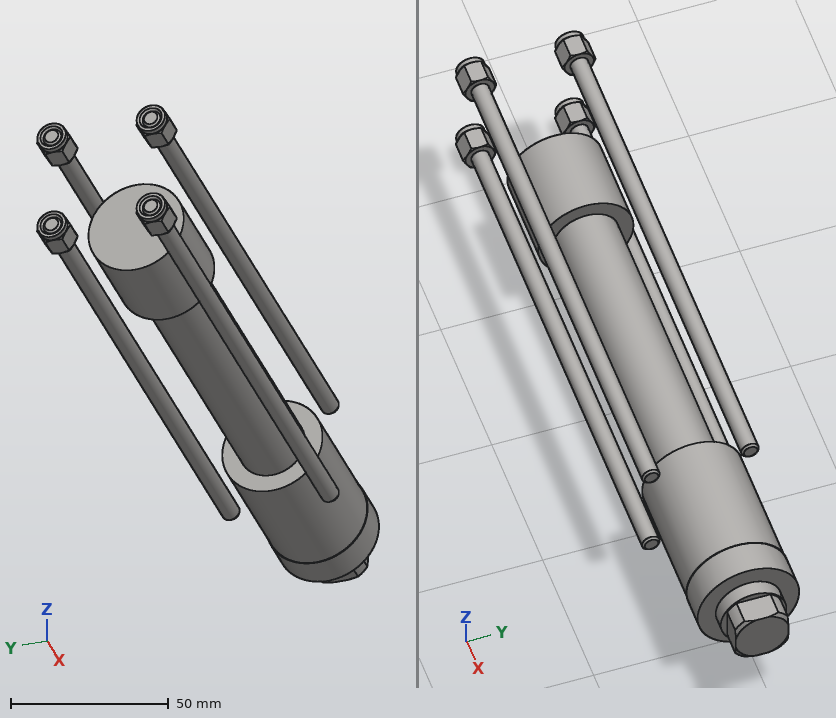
import cadquery as cq
import math

OVERALL_LENGTH = 238.0

TIE_ROD_COUNT = 4
TIE_ROD_FIRST_ANGLE = 45.0
TIE_ROD_CIRCLE_DIAMETER = 47.0
TIE_ROD_DIAMETER = 6.0
TIE_ROD_LENGTH = 178.0
TIE_ROD_CHAMFER = 0.7

NUT_LENGTH = 9.8
NUT_ACROSS_FLATS = 9.8
NUT_ACROSS_CORNERS = NUT_ACROSS_FLATS / math.cos(math.radians(30))
NUT_COLLAR_LENGTH = 2.0
NUT_COLLAR_DIAMETER = 9.5
NUT_COUNTERSINK = 0.7

PISTON_START = 34.5
PISTON_END = 65.0
PISTON_DIAMETER = 32.0
ROD_DIAMETER = 22.0
ROD_SHOULDER = 229.5
TIP_DIAMETER = 21.0
TIP_ACROSS_FLATS = 17.5
TIP_FACE_DIAMETER = 18.0

GLAND_START = 169.2
GLAND_CAP_START = 213.2
GLAND_END = 224.5
GLAND_DIAMETER = 33.5
GLAND_CAP_DIAMETER = 34.0

CORNER_CHAMFER_ANGLE = 30.0


def cylinder_between(start, end, diameter):
    """Solid cylinder on the X axis."""
    return cq.Workplane("YZ", origin=(start, 0, 0)).circle(diameter / 2).extrude(end - start)


def chamfered_blank(start, end, diameter, face_diameter, end_faces):
    """Cylinder on the X axis with a shallow cone that narrows the chosen ends to face_diameter."""
    inward = (diameter - face_diameter) / 2
    along = inward * math.tan(math.radians(CORNER_CHAMFER_ANGLE))
    blank = cylinder_between(start, end, diameter)
    for face in end_faces:
        plane_x = start if face == "<X" else end
        step = along if face == "<X" else -along
        corner_ring = (
            cq.Workplane("XY")
            .moveTo(plane_x, face_diameter / 2)
            .lineTo(plane_x, diameter / 2)
            .lineTo(plane_x + step, diameter / 2)
            .close()
            .revolve(360, (0, 0, 0), (1, 0, 0))
        )
        blank = blank.cut(corner_ring)
    return blank


def make_piston_rod():
    """Piston head, rod and squared tip in one piece."""
    head = cylinder_between(PISTON_START, PISTON_END, PISTON_DIAMETER)
    shaft = cylinder_between(PISTON_END, ROD_SHOULDER, ROD_DIAMETER)
    square = (
        cq.Workplane("YZ", origin=(ROD_SHOULDER, 0, 0))
        .rect(TIP_ACROSS_FLATS, TIP_ACROSS_FLATS)
        .extrude(OVERALL_LENGTH - ROD_SHOULDER)
    )
    tip_blank = chamfered_blank(ROD_SHOULDER, OVERALL_LENGTH, TIP_DIAMETER, TIP_FACE_DIAMETER, [">X"])
    return head.union(shaft).union(tip_blank.intersect(square))


def make_gland():
    """Sleeve around the piston rod, with a slightly wider cap at its outer end."""
    sleeve = cylinder_between(GLAND_START, GLAND_CAP_START, GLAND_DIAMETER)
    cap = cylinder_between(GLAND_CAP_START, GLAND_END, GLAND_CAP_DIAMETER)
    bore = cylinder_between(GLAND_START, GLAND_END, ROD_DIAMETER)
    return sleeve.union(cap).cut(bore)


def make_tie_rod(y, z):
    """Plain rod with both ends chamfered."""
    rod = cylinder_between(0, TIE_ROD_LENGTH, TIE_ROD_DIAMETER)
    return rod.faces("<X or >X").chamfer(TIE_ROD_CHAMFER).translate((0, y, z))


def make_lock_nut(y, z):
    """Hexagon nut with corners on +Y and -Y and a round locking collar at its free end."""
    hexagon = (
        cq.Workplane("YZ", origin=(NUT_COLLAR_LENGTH, 0, 0))
        .polygon(6, NUT_ACROSS_CORNERS)
        .extrude(NUT_LENGTH - NUT_COLLAR_LENGTH)
    )
    blank = chamfered_blank(
        NUT_COLLAR_LENGTH, NUT_LENGTH, NUT_ACROSS_CORNERS, NUT_ACROSS_FLATS, ["<X", ">X"]
    )
    collar = cylinder_between(0, NUT_COLLAR_LENGTH, NUT_COLLAR_DIAMETER)
    bore = cylinder_between(0, NUT_LENGTH, TIE_ROD_DIAMETER)
    nut = hexagon.intersect(blank).union(collar).cut(bore)
    bore_rim = nut.faces("<X").edges(cq.selectors.RadiusNthSelector(0))
    nut = bore_rim.chamfer(NUT_COUNTERSINK)
    return nut.translate((0, y, z))


def tie_rod_centres():
    """(y, z) of each tie rod, evenly spaced on the tie rod circle."""
    radius = TIE_ROD_CIRCLE_DIAMETER / 2
    angles = [
        math.radians(TIE_ROD_FIRST_ANGLE + 360 * index / TIE_ROD_COUNT) for index in range(TIE_ROD_COUNT)
    ]
    return [(radius * math.cos(angle), radius * math.sin(angle)) for angle in angles]


piston_rod = make_piston_rod()
gland = make_gland()
tie_rods = [make_tie_rod(y, z).val() for y, z in tie_rod_centres()]
lock_nuts = [make_lock_nut(y, z).val() for y, z in tie_rod_centres()]

result = cq.Compound.makeCompound([piston_rod.val(), gland.val(), *tie_rods, *lock_nuts])